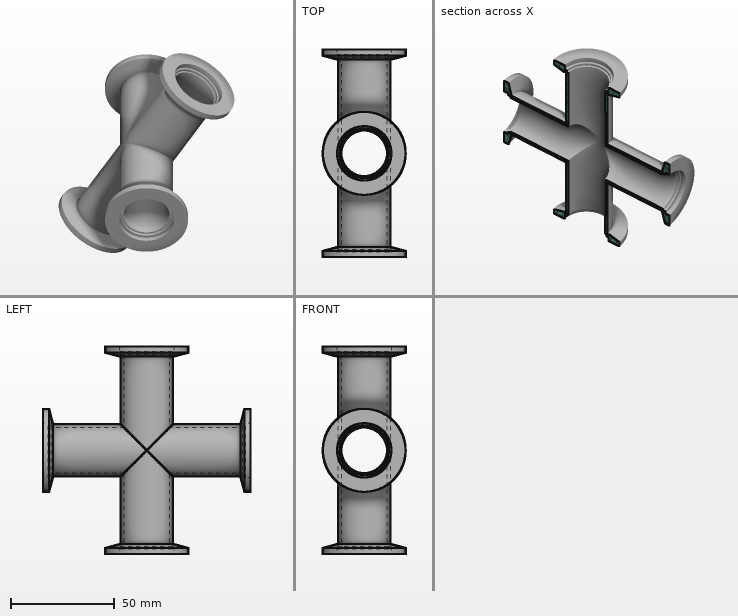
import cadquery as cq
import math

overall_length = 100.0
arm_angles = (0, 90, 180, 270)

tube_diameter = 25.4
tube_bore_diameter = 22.0

flange_diameter = 40.0
flange_thickness = 4.9
socket_diameter = 25.7
cone_angle = 15.0
recess_diameter = 26.2
recess_depth = 2.5
lip_diameter = 23.8
lip_thickness = 1.3

face_height = overall_length / 2
flange_back_height = face_height - flange_thickness
recess_floor_height = face_height - recess_depth
tube_end_height = recess_floor_height - lip_thickness
cone_height = (flange_diameter - socket_diameter) / 2 * math.tan(math.radians(cone_angle))
rim_back_height = flange_back_height + cone_height


def make_tube():
    """Tube along +Z, mitred at 45 degrees on both sides where the arms meet."""
    tube = (
        cq.Workplane("XY")
        .circle(tube_diameter / 2)
        .circle(tube_bore_diameter / 2)
        .extrude(tube_end_height)
    )
    mitre_wedge = (
        cq.Workplane("YZ")
        .polyline([(0, 0), (face_height, face_height), (-face_height, face_height)])
        .close()
        .extrude(tube_diameter, both=True)
    )
    return tube.intersect(mitre_wedge)


def make_flange():
    """Clamp flange on +Z with a face recess, a lip and a clearance socket for the tube."""
    return (
        cq.Workplane("XZ")
        .moveTo(socket_diameter / 2, flange_back_height)
        .lineTo(flange_diameter / 2, rim_back_height)
        .lineTo(flange_diameter / 2, face_height)
        .lineTo(recess_diameter / 2, face_height)
        .lineTo(recess_diameter / 2, recess_floor_height)
        .lineTo(lip_diameter / 2, recess_floor_height)
        .lineTo(lip_diameter / 2, tube_end_height)
        .lineTo(socket_diameter / 2, tube_end_height)
        .close()
        .revolve(360, (0, 0, 0), (0, 1, 0))
    )


def place_on_arm(body, angle):
    """Turn a body from +Z about the X axis onto its arm of the cross."""
    return body.rotate((0, 0, 0), (1, 0, 0), angle)


tubes = []
flanges = []
for arm_angle in arm_angles:
    tubes.append(place_on_arm(make_tube(), arm_angle).val())
    flanges.append(place_on_arm(make_flange(), arm_angle).val())

result = cq.Compound.makeCompound([*tubes, *flanges])